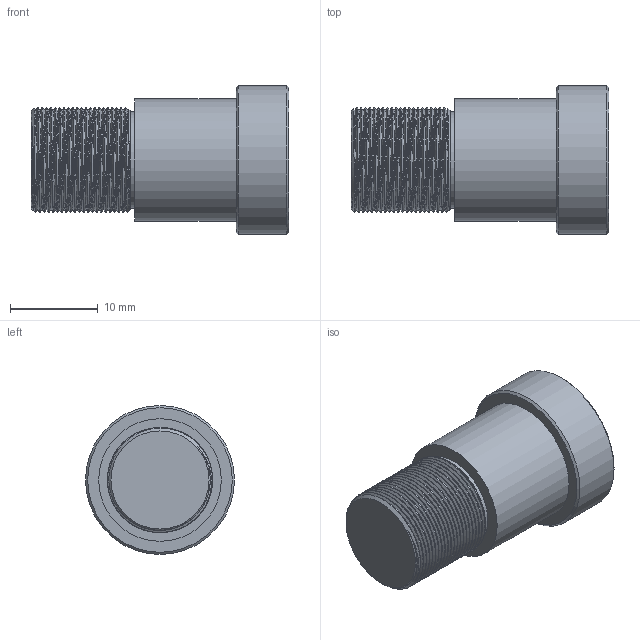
import cadquery as cq
import math

overall_length = 29.4

head_diameter = 17.0
head_length = 6.0
head_chamfer = 0.25

shank_diameter = 14.0
shank_length = 11.6

neck_diameter = 11.0
neck_length = 0.5

thread_diameter = 12.0
thread_pitch = 0.5
thread_flank_angle = 60.0
thread_end_chamfer = 0.4
thread_sharp_height = thread_pitch / 2 / math.tan(math.radians(thread_flank_angle / 2))
thread_depth = thread_sharp_height * 5 / 8
thread_root_width = thread_pitch / 4

crest_clearance = 0.03
lead_in_turns = 2
groove_start_angle = 217.0
groove_start = thread_pitch * (groove_start_angle / 360 - lead_in_turns)

head_start = overall_length - head_length
shank_start = head_start - shank_length
neck_start = shank_start - neck_length


def make_blank():
    """Turned pin before threading: half profile revolved around X."""
    head_radius = head_diameter / 2
    shank_radius = shank_diameter / 2
    neck_radius = neck_diameter / 2
    thread_radius = thread_diameter / 2
    profile = [
        (0, 0),
        (0, thread_radius - thread_end_chamfer),
        (thread_end_chamfer, thread_radius),
        (neck_start - thread_end_chamfer, thread_radius),
        (neck_start, thread_radius - thread_end_chamfer),
        (neck_start, neck_radius),
        (shank_start, neck_radius),
        (shank_start, shank_radius),
        (head_start, shank_radius),
        (head_start, head_radius - head_chamfer),
        (head_start + head_chamfer, head_radius),
        (overall_length - head_chamfer, head_radius),
        (overall_length, head_radius - head_chamfer),
        (overall_length, 0),
    ]
    return cq.Workplane("XZ").polyline(profile).close().revolve(360, (0, 0, 0), (1, 0, 0))


def make_thread_groove():
    """V-shaped cutter with a flat root, its faces ruled between helices around X."""
    root_radius = thread_diameter / 2 - thread_depth
    top_radius = thread_diameter / 2 + crest_clearance
    half_root = thread_root_width / 2
    flank_slope = math.tan(math.radians(thread_flank_angle / 2))
    half_top = half_root + (top_radius - root_radius) * flank_slope
    section = [
        (root_radius, -half_root),
        (top_radius, -half_top),
        (top_radius, half_top),
        (root_radius, half_root),
    ]

    helix_length = neck_start - groove_start
    helices = [
        cq.Wire.makeHelix(thread_pitch, helix_length, radius).translate(cq.Vector(0, 0, height))
        for radius, height in section
    ]
    faces = []
    for index, helix in enumerate(helices):
        previous_helix = helices[index - 1]
        faces.append(cq.Face.makeRuledSurface(previous_helix.Edges()[0], helix.Edges()[0]))
    for path_fraction in (0, 1):
        corners = [helix.positionAt(path_fraction) for helix in helices]
        faces.append(cq.Face.makeFromWires(cq.Wire.makePolygon(corners, close=True)))
    groove = cq.Workplane(obj=cq.Solid.makeSolid(cq.Shell.makeShell(faces)))

    return (
        groove.rotate((0, 0, 0), (0, 1, 0), 90)
        .rotate((0, 0, 0), (1, 0, 0), groove_start_angle - 180)
        .translate((groove_start, 0, 0))
    )


result = make_blank().cut(make_thread_groove())